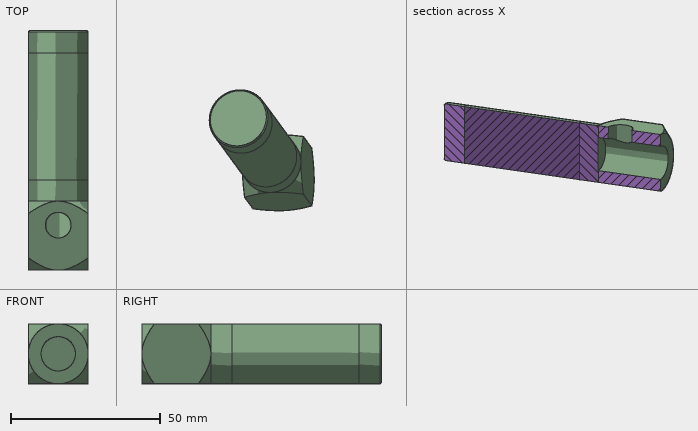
import cadquery as cq

total_length = 80.0
width = 20.0
radius = width / 2

head_length = 23.0
collar_length = 7.0
cap_length = 7.5
collar_end = head_length + collar_length
cap_start = total_length - cap_length
cap_chamfer = 0.5

bore_diameter = 11.4
port_diameter = 8.6
port_position = 15.0


def cylinder(diameter, start, end):
    """Solid cylinder on the Y axis between two Y positions."""
    plane = cq.Plane(origin=(0, start, 0), xDir=(1, 0, 0), normal=(0, 1, 0))
    return cq.Workplane(plane).circle(diameter / 2).extrude(end - start)


def make_head():
    """Square head with conically turned corners, an axial through bore and a top port."""
    block = cq.Workplane("XY").box(width, head_length, width).translate((0, head_length / 2, 0))

    middle = head_length / 2
    turned_envelope = (
        cq.Workplane("XY")
        .polyline([
            (0, 0),
            (radius, 0),
            (radius + middle, middle),
            (radius, head_length),
            (0, head_length),
        ])
        .close()
        .revolve(360, (0, 0, 0), (0, 1, 0))
    )
    bore = cylinder(bore_diameter, 0, head_length)
    port = cq.Workplane("XY").center(0, port_position).circle(port_diameter / 2).extrude(radius)
    return block.intersect(turned_envelope).cut(bore).cut(port)


def make_collar():
    """Round collar between the head and the barrel."""
    return cylinder(width, head_length, collar_end)


def make_barrel():
    """Long plain cylindrical middle section."""
    return cylinder(width, collar_end, cap_start)


def make_cap():
    """Round end cap with a chamfered outer rim."""
    return cylinder(width, cap_start, total_length).faces(">Y").chamfer(cap_chamfer)


head = make_head()
collar = make_collar()
barrel = make_barrel()
cap = make_cap()

result = cq.Compound.makeCompound([head.val(), collar.val(), barrel.val(), cap.val()])